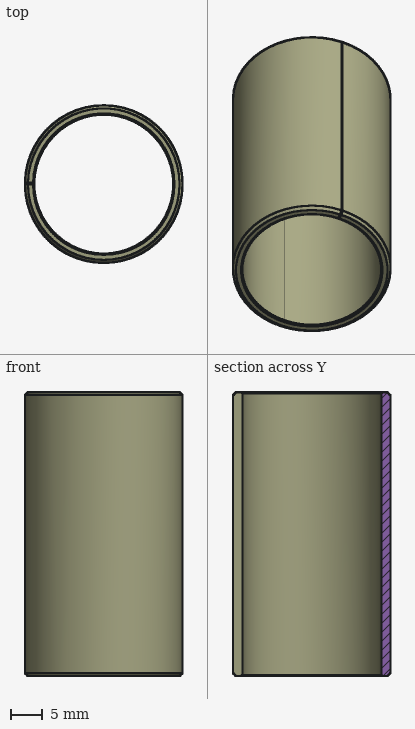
import cadquery as cq

OUTER_DIAMETER = 25.0
BORE_DIAMETER = 22.0
LENGTH = 45.0

OUTER_CHAMFER = 0.5
BORE_CHAMFER = 0.2

JOINT_WIDTH = 0.2

OUTER_RADIUS = OUTER_DIAMETER / 2
BORE_RADIUS = BORE_DIAMETER / 2


def make_sleeve():
    """Revolve the chamfered wall section about the Z axis."""
    end_outer_radius = OUTER_RADIUS - OUTER_CHAMFER
    end_inner_radius = BORE_RADIUS + BORE_CHAMFER
    wall_section = [
        (end_inner_radius, 0),
        (end_outer_radius, 0),
        (OUTER_RADIUS, OUTER_CHAMFER),
        (OUTER_RADIUS, LENGTH - OUTER_CHAMFER),
        (end_outer_radius, LENGTH),
        (end_inner_radius, LENGTH),
        (BORE_RADIUS, LENGTH - BORE_CHAMFER),
        (BORE_RADIUS, BORE_CHAMFER),
    ]
    return cq.Workplane("XZ").polyline(wall_section).close().revolve(360, (0, 0), (0, 1))


def make_joint_cutter():
    """Thin full-length slab reaching from the axis out past the -X wall."""
    slab = cq.Workplane("XY").box(OUTER_DIAMETER, JOINT_WIDTH, LENGTH, centered=False)
    return slab.translate((-OUTER_DIAMETER, 0, 0))


result = make_sleeve().cut(make_joint_cutter())